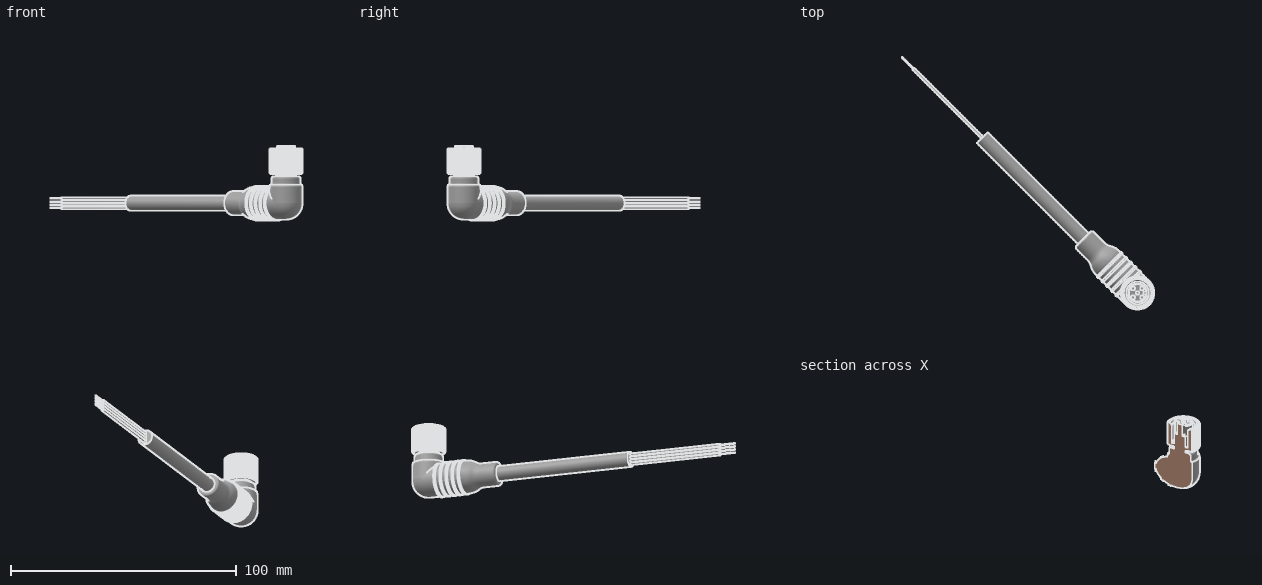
import cadquery as cq
import math


overall_length = 112.0
overall_height = 33.1
cable_heading = -45.0

body_radius = 7.4
rib_radius = 15.6 / 2
rib_width = 0.9
rib_count = 5
rib_pitch = 2.9
first_rib_distance = 5.8
shoulder_start = 19.4
shoulder_end = 23.1
sleeve_start = 25.9
sleeve_radius = 10.9 / 2
sleeve_end = 33.9
sleeve_edge_round = 1.0

jacket_radius = 6.8 / 2
jacket_end = 97.3
wire_count = 4
wire_radius = 0.62
wire_gap = 0.17
wire_pitch = 2 * wire_radius + wire_gap
stripped_length = 7.2
conductor_radius = 0.2

turret_edge = 7.2
turret_top = 8.1
turret_top_radius = 7.2
cove_top = 9.0
cove_radius = 0.9
collar_radius = 6.5
collar_top = 12.0
collar_round = 1.2
neck_radius = 4.1

nut_radius = 14.9 / 2
hub_radius = 4.6
hub_height = 0.2
nut_bottom = 12.9
nut_top = 24.4
nut_chamfer = 0.7
nut_bore_radius = 5.0
nut_bore_floor = 14.6
nut_mouth_chamfer = 1.0
knurl_count = 48
knurl_groove_width = 0.5
knurl_groove_depth = 0.3

insert_radius = neck_radius
insert_chamfer = 0.3
insert_top = overall_height - rib_radius
contact_count = 4
contact_circle_radius = 2.8
contact_hole_radius = 0.9
centre_hole_radius = 0.8
contact_hole_depth = 5.6
keyway_inner_end = 2.6
keyway_width = 1.0
keyway_direction = 45.0

conductor_end = (overall_length - nut_radius) / math.cos(math.radians(cable_heading)) - conductor_radius
wire_end = conductor_end - stripped_length

overlap = 1.1


def cable_rod(radius, start, end, height=0.0):
    """Round rod along the cable, between two distances from the socket axis."""
    return cq.Workplane("YZ", origin=(-start, 0, height)).circle(radius).extrude(start - end)


def post(radius, bottom, top):
    """Upright round post on the socket axis."""
    return cq.Workplane("XY", origin=(0, 0, bottom)).circle(radius).extrude(top - bottom)


def make_strain_relief():
    bend_fraction = (shoulder_end - shoulder_start) / (sleeve_start - shoulder_start)
    shoulder_end_radius = body_radius - bend_fraction * (body_radius - sleeve_radius)
    relief = (
        cq.Workplane("XZ")
        .moveTo(0, 0)
        .lineTo(0, body_radius)
        .lineTo(-shoulder_start, body_radius)
        .tangentArcPoint((-shoulder_end, shoulder_end_radius), relative=False)
        .tangentArcPoint((-sleeve_start, sleeve_radius), relative=False)
        .lineTo(-sleeve_end, sleeve_radius)
        .lineTo(-sleeve_end, 0)
        .close()
        .revolve(360, (0, 0, 0), (1, 0, 0))
        .faces("<X")
        .edges()
        .fillet(sleeve_edge_round)
    )
    for rib in range(rib_count):
        middle = first_rib_distance + rib * rib_pitch
        relief = relief.union(cable_rod(rib_radius, middle - rib_width / 2, middle + rib_width / 2))
    return relief


def make_cable():
    cable = cable_rod(jacket_radius, sleeve_end - overlap, jacket_end)
    for wire in range(wire_count):
        height = (wire - (wire_count - 1) / 2) * wire_pitch
        cable = cable.union(cable_rod(wire_radius, jacket_end - overlap, wire_end, height))
        cable = cable.union(cable_rod(conductor_radius, wire_end - overlap, conductor_end, height))
    return cable


def make_elbow():
    turret = (
        cq.Workplane("XZ")
        .lineTo(body_radius, 0)
        .lineTo(body_radius, turret_edge)
        .lineTo(turret_top_radius, turret_top)
        .radiusArc((collar_radius, cove_top), cove_radius)
        .lineTo(0, cove_top)
        .close()
        .revolve(360, (0, 0, 0), (0, 1, 0))
    )
    collar = post(collar_radius, cove_top - overlap, collar_top).faces(">Z").edges().fillet(collar_round)
    neck = post(neck_radius, collar_top - overlap, nut_bottom)
    return cq.Workplane("XY").sphere(body_radius).union(turret).union(collar).union(neck)


def make_nut():
    nut = post(nut_radius, nut_bottom, nut_top).faces("<Z or >Z").edges().chamfer(nut_chamfer)
    hub = post(hub_radius, nut_bottom - hub_height, nut_bottom)
    bore = post(nut_bore_radius, nut_bore_floor, nut_top)
    bore = bore.faces(">Z").workplane().circle(nut_bore_radius + nut_mouth_chamfer)
    bore = bore.workplane(offset=-nut_mouth_chamfer).circle(nut_bore_radius).loft(combine=True)
    grooves = (
        cq.Workplane("XY", origin=(0, 0, nut_bottom))
        .polarArray(nut_radius, 0, 360, knurl_count)
        .rect(2 * knurl_groove_depth, knurl_groove_width)
        .extrude(nut_top - nut_bottom)
    )
    return nut.union(hub).cut(bore).cut(grooves)


def make_insert():
    insert = post(insert_radius, nut_bore_floor - overlap, insert_top).faces(">Z").chamfer(insert_chamfer)
    insert = insert.faces(">Z").workplane().hole(2 * centre_hole_radius, contact_hole_depth)
    insert = (
        insert.faces(">Z")
        .workplane()
        .polarArray(contact_circle_radius, 0, 360, contact_count)
        .hole(2 * contact_hole_radius, contact_hole_depth)
    )
    keyway = cq.Workplane("XY").box(
        insert_radius, keyway_width, contact_hole_depth, centered=(False, True, False)
    )
    keyway = keyway.translate((keyway_inner_end, 0, insert_top - contact_hole_depth))
    return insert.cut(keyway.rotate((0, 0, 0), (0, 0, 1), keyway_direction))


connector = make_strain_relief().union(make_elbow()).union(make_cable())
connector = connector.union(make_nut()).union(make_insert())
result = connector.rotate((0, 0, 0), (0, 0, 1), cable_heading)